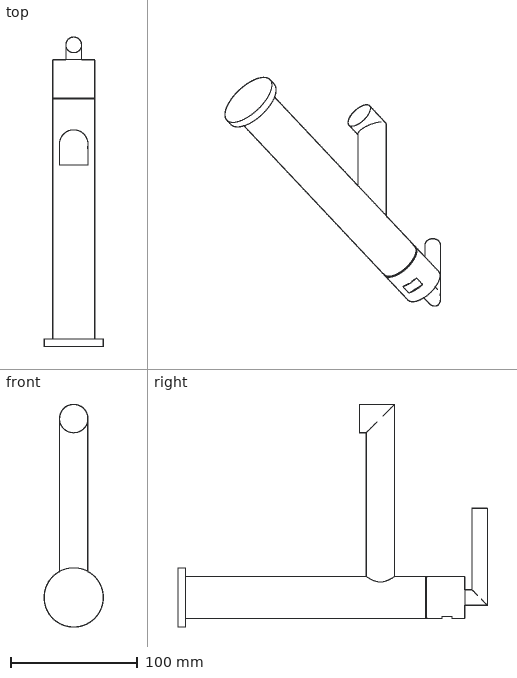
import cadquery as cq

flange_diameter = 47.0
flange_thickness = 6.0

body_diameter = 33.3
body_end = 226.9
groove_start = 195.8
groove_width = 0.7
groove_depth = 0.5
edge_radius = 0.7

notch_start = 208.8
notch_length = 7.8
notch_depth = 1.5

overall_length = 244.7
lever_diameter = 12.5
lever_top = 70.7
lever_axis = overall_length - lever_diameter / 2

overall_height = 176.2
spout_diameter = 22.5
spout_axis = 160.0
spout_tip = 143.5
spout_top = overall_height - flange_diameter / 2
spout_bend = spout_top - spout_diameter / 2


def disc_along_y(diameter, start, end):
    """Solid cylinder on the Y axis between two Y positions."""
    return cq.Workplane("XZ", origin=(0, start, 0)).circle(diameter / 2).extrude(start - end)


def mitred_rod(diameter, points):
    """Round rod following a right-angled path in the YZ plane, with sharp mitred corners."""
    path = cq.Workplane("YZ").polyline(points)
    start_plane = cq.Workplane("XY", origin=(0, points[0][0], points[0][1]))
    return start_plane.circle(diameter / 2).sweep(path, transition="right")


def make_body():
    flange = disc_along_y(flange_diameter, 0, flange_thickness).faces(">Y").fillet(edge_radius)
    barrel = disc_along_y(body_diameter, 0, body_end).faces(">Y").fillet(edge_radius)
    groove_end = groove_start + groove_width
    groove = disc_along_y(body_diameter, groove_start, groove_end).cut(
        disc_along_y(body_diameter - 2 * groove_depth, groove_start, groove_end)
    )
    return flange.union(barrel).cut(groove)


def make_lever():
    points = [(lever_axis, lever_top), (lever_axis, 0), (groove_start, 0)]
    return mitred_rod(lever_diameter, points).faces(">Z").fillet(edge_radius)


def make_spout():
    points = [(spout_axis, 0), (spout_axis, spout_bend), (spout_tip, spout_bend)]
    return mitred_rod(spout_diameter, points)


def make_notch():
    floor = cq.Workplane("XY", origin=(0, notch_start + notch_length / 2, notch_depth - body_diameter / 2))
    return floor.rect(body_diameter, notch_length).extrude(-notch_depth)


result = make_body().union(make_lever()).union(make_spout()).cut(make_notch())